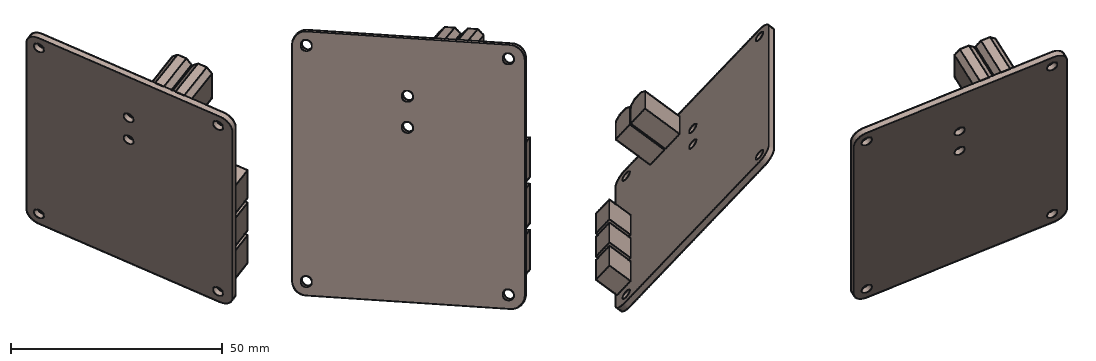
import cadquery as cq

board_width = 56.5
board_height = 65.0
board_thickness = 1.6
corner_radius = 3.45

hole_diameter = 2.7
corner_hole_inset = 3.45
right_hole_inset = 3.95
middle_hole_x = 28.0
middle_hole_heights = (43.0, 50.7)

connector_width = 5.25
connector_height = 10.1
connector_depth = 12.3 - board_thickness
connector_bevel = 1.4
connector_left = 32.8
connector_pitch = 5.6
connector_count = 2
connector_top_gap = 0.25

block_width = 5.0
block_height = 9.75
block_depth = 6.5
block_left = 50.9
block_bottom = 7.7
block_pitch = 11.4
block_count = 3


def box_behind_board(left, bottom, width, depth, height):
    """Box standing on the rear face of the board."""
    return cq.Workplane("XY").box(width, depth, height, centered=False).translate(
        (left, board_thickness, bottom)
    )


def make_board():
    board = cq.Workplane("XY").box(board_width, board_thickness, board_height, centered=False)
    board = board.edges("|Y").fillet(corner_radius)
    hole_points = [
        (x, z)
        for x in (corner_hole_inset, board_width - right_hole_inset)
        for z in (corner_hole_inset, board_height - corner_hole_inset)
    ]
    hole_points += [(middle_hole_x, z) for z in middle_hole_heights]
    holes = (
        cq.Workplane("XZ")
        .pushPoints(hole_points)
        .circle(hole_diameter / 2)
        .extrude(-board_thickness)
    )
    return board.cut(holes)


def make_connector(index):
    left = connector_left + index * connector_pitch
    bottom = board_height - connector_top_gap - connector_height
    body = box_behind_board(left, bottom, connector_width, connector_depth, connector_height)
    return body.faces(">Z").edges("|Y").chamfer(connector_bevel)


def make_block(index):
    bottom = block_bottom + index * block_pitch
    return box_behind_board(block_left, bottom, block_width, block_depth, block_height)


result = make_board()
for connector_index in range(connector_count):
    result = result.union(make_connector(connector_index))
for block_index in range(block_count):
    result = result.union(make_block(block_index))